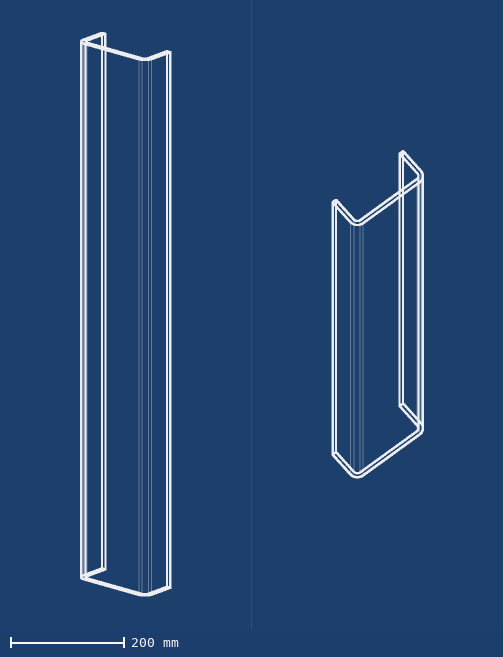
import cadquery as cq

LENGTH = 1000.0
WIDTH = 160.5
DEPTH = 66.0
THICKNESS = 8.0
OUTER_RADIUS = 16.0

inner_radius = OUTER_RADIUS - THICKNESS


def outer_block():
    """Solid bar with the channel's outer envelope and rounded web corners."""
    block = cq.Workplane("XY").box(WIDTH, DEPTH, LENGTH)
    return block.edges("|Z and <Y").fillet(OUTER_RADIUS)


def inner_block():
    """Space between the flanges, open at +Y, with rounded inner corners."""
    block = cq.Workplane("XY").box(WIDTH - 2 * THICKNESS, DEPTH, LENGTH)
    return block.edges("|Z and <Y").fillet(inner_radius).translate((0, THICKNESS, 0))


result = outer_block().cut(inner_block())